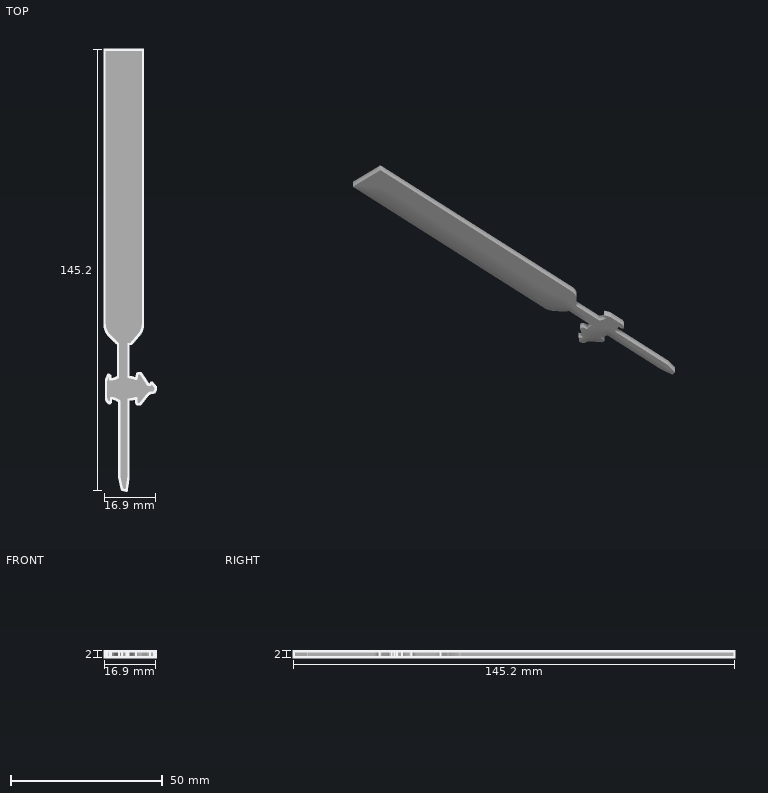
import cadquery as cq

thickness = 2.0
total_length = 145.19
total_width = 16.89

tube_width = 12.7
tube_half = tube_width / 2
shoulder_start_y = 54.7
shoulder_arc_drop = 3.8
shoulder_arc_inset = 1.7
shoulder_arc_bulge = 0.3
shoulder_end_y = 48.3
shoulder_ledge = 0.8

stem_right = 1.63
neck_width = 3.6
outlet_width = 3.2
neck_left = stem_right - neck_width
outlet_left = stem_right - outlet_width

taper_length = 4.6
tip_left = -0.6
tip_right = 0.95
tip_slant = 0.35

stopcock_y = 33.7
stopcock_left = -5.9
neck_base = 3.8
outlet_top_left = -4.2
outlet_top_right = -3.7

upper_hollow = (2.8, 3.6)
upper_fin_root = (4.1, 3.2)
upper_fin_inner = (4.3, 4.4)
upper_fin_crest = (5.05, 5.1)
upper_fin_outer = (5.9, 4.6)
upper_fin_foot = (8.0, 1.3)
lower_fin_foot = (7.9, -2.1)
lower_fin_outer = (5.7, -4.9)
lower_fin_crest = (4.9, -5.35)
lower_fin_inner = (4.1, -4.6)
lower_fin_root = (4.1, -3.2)
lower_hollow = (3.0, -3.55)

knob_right = total_width - tube_half
knob_face_half = 0.4
knob_neck_top = (8.6, 1.2)
knob_top = (9.2, 2.0)
knob_bottom = (10.0, -1.4)
knob_neck_bottom = (8.7, -1.5)

lower_ear_hollow = (-2.7, -3.6)
lower_ear_root = (-4.2, -3.2)
lower_ear_inner = (-4.2, -4.3)
lower_ear_tip = (-4.7, -5.0)
lower_ear_outer = (-5.6, -4.1)
left_face_bottom = (stopcock_left, -3.2)
left_face_top = (stopcock_left, 2.6)
upper_ear_tip = (-5.1, 4.6)
upper_ear_inner = (-4.3, 4.0)
upper_ear_root = (-4.5, 3.1)
upper_ear_hollow = (-3.2, 3.2)


def at_stopcock(point):
    """Move a point from stopcock heights to part coordinates."""
    x, height = point
    return (x, stopcock_y + height)


def stopcock_lines(outline, points):
    """Straight edges through the given stopcock points."""
    for point in points:
        outline = outline.lineTo(*at_stopcock(point))
    return outline


def stopcock_arc(outline, middle, end):
    """Arc to a stopcock point by way of a middle point."""
    return outline.threePointArc(at_stopcock(middle), at_stopcock(end))


def shoulder_points(side):
    """Start, middle and end of the shoulder arc; side is -1 for left and 1 for right."""
    start = (side * tube_half, shoulder_start_y)
    end = (side * (tube_half - shoulder_arc_inset), shoulder_start_y - shoulder_arc_drop)
    middle = (
        (start[0] + end[0]) / 2 + side * shoulder_arc_bulge,
        (start[1] + end[1]) / 2 - shoulder_arc_bulge,
    )
    return start, middle, end


def add_tube(outline):
    """Up the neck and left shoulder, round the tube and down to the neck."""
    start, middle, end = shoulder_points(-1)
    outline = outline.lineTo(neck_left, shoulder_end_y).lineTo(*end)
    outline = outline.threePointArc(middle, start)
    outline = outline.lineTo(-tube_half, total_length).lineTo(tube_half, total_length)
    start, middle, end = shoulder_points(1)
    outline = outline.lineTo(*start).threePointArc(middle, end)
    outline = outline.lineTo(stem_right + shoulder_ledge, shoulder_end_y)
    return outline.lineTo(stem_right, shoulder_end_y)


def add_fins_and_knob(outline):
    """Right-hand side of the stopcock, from the neck down to the outlet."""
    outline = stopcock_lines(outline, [(stem_right, neck_base)])
    outline = stopcock_arc(outline, upper_hollow, upper_fin_root)
    outline = stopcock_lines(outline, [upper_fin_inner])
    outline = stopcock_arc(outline, upper_fin_crest, upper_fin_outer)
    outline = stopcock_lines(outline, [upper_fin_foot, knob_neck_top, knob_top])
    outline = stopcock_lines(outline, [(knob_right, knob_face_half), (knob_right, -knob_face_half)])
    outline = stopcock_lines(outline, [knob_bottom, knob_neck_bottom])
    outline = stopcock_lines(outline, [lower_fin_foot, lower_fin_outer])
    outline = stopcock_arc(outline, lower_fin_crest, lower_fin_inner)
    outline = stopcock_lines(outline, [lower_fin_root])
    return stopcock_arc(outline, lower_hollow, (stem_right, outlet_top_right))


def add_outlet(outline):
    """Right edge of the outlet, its tapered tip and its left edge."""
    outline = outline.lineTo(stem_right, taper_length).lineTo(tip_right, 0)
    outline = outline.lineTo(tip_left, tip_slant).lineTo(outlet_left, taper_length)
    return stopcock_lines(outline, [(outlet_left, outlet_top_left)])


def add_ears(outline):
    """Left-hand side of the stopcock, from the outlet up to the neck."""
    outline = stopcock_arc(outline, lower_ear_hollow, lower_ear_root)
    outline = stopcock_lines(outline, [lower_ear_inner, lower_ear_tip, lower_ear_outer])
    outline = stopcock_lines(outline, [left_face_bottom, left_face_top])
    outline = stopcock_lines(outline, [upper_ear_tip, upper_ear_inner, upper_ear_root])
    return stopcock_arc(outline, upper_ear_hollow, (neck_left, neck_base))


outline = cq.Workplane("XY").moveTo(*at_stopcock((neck_left, neck_base)))
outline = add_tube(outline)
outline = add_fins_and_knob(outline)
outline = add_outlet(outline)
outline = add_ears(outline)
result = outline.close().extrude(thickness)